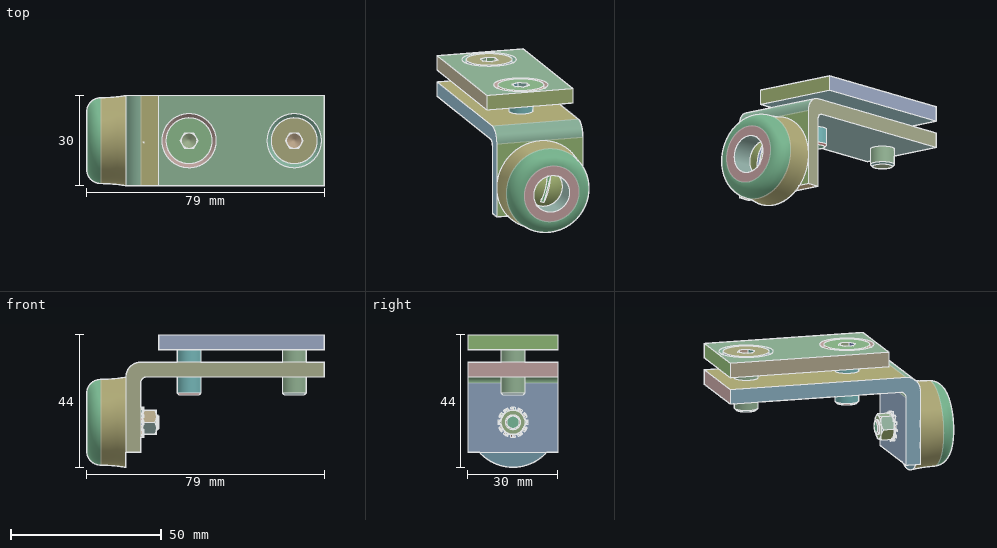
import cadquery as cq
import math


hexagon_sides = 6

width = 30.0
thickness = 5.0
bracket_length = 66.0
bracket_height = 30.0
outer_bend_radius = thickness
inner_bend_radius = 2.0
plate_length = 55.1
plate_gap = 4.0
plate_top = plate_gap + thickness

clamp_screw_pitch = 34.9
clamp_screw_end_inset = 10.0
clamp_shank_diameter = 8.0
clamp_tip_diameter = 6.6
clamp_head_diameter = 15.25
clamp_screw_protrusion = 6.0
clamp_hole_diameter = 8.2
countersink_diameter = 18.0
countersink_angle = 90.0
socket_corner_diameter = 5.9
socket_depth = 3.3
socket_point_angle = 120.0
clamp_tip_chamfer = (clamp_shank_diameter - clamp_tip_diameter) / 2
clamp_head_rim = (countersink_diameter - clamp_head_diameter) / 2
clamp_screw_tip = -thickness - clamp_screw_protrusion
clamp_screw_positions = [
    bracket_length - clamp_screw_end_inset - clamp_screw_pitch,
    bracket_length - clamp_screw_end_inset,
]

bumper_length = 13.0
bumper_base_radius = width / 2
bumper_neck_radius = 14.3
bumper_nose_round = 4.75
bumper_overhang = 5.0
bumper_axis_z = -bracket_height - bumper_overhang + bumper_base_radius
bumper_bore_diameter = 12.5
bumper_bore_depth = 8.05

bumper_screw_diameter = 5.0
bumper_screw_tip_diameter = 4.1
bumper_screw_projection = 6.0
dome_height = 2.6
slot_width = 1.2
slot_length = 9.2
slot_tilt = 15.0
head_seat_x = bumper_bore_depth - bumper_length
bumper_screw_tip_chamfer = (bumper_screw_diameter - bumper_screw_tip_diameter) / 2

washer_thickness = 0.6
washer_ring_diameter = 6.5
washer_tooth_diameter = 10.0
washer_tooth_height = 1.1
washer_tooth_width = 0.55
washer_tooth_skew = 1.0
washer_tooth_count = 12

nut_across_flats = 8.0
nut_end_projection = 5.2
nut_chamfer_height = 0.55
nut_corner_radius = nut_across_flats / math.sqrt(3)
nut_height = nut_end_projection - washer_thickness


def bumper_axis_plane(x):
    """Plane square to the bumper axis at x; local x is +Y, local y is +Z, normal is +X."""
    return cq.Workplane(cq.Plane(origin=(x, 0, bumper_axis_z), xDir=(0, 1, 0), normal=(1, 0, 0)))


def revolve_about_bumper_axis(profile):
    """Turn an XY profile (X along the axis, Y the radius) about X and move it to the bumper axis."""
    return profile.close().revolve(360, (0, 0), (1, 0)).translate((0, 0, bumper_axis_z))


def make_bracket():
    bracket = (
        cq.Workplane("XZ")
        .moveTo(0, -bracket_height)
        .lineTo(0, 0)
        .lineTo(bracket_length, 0)
        .lineTo(bracket_length, -thickness)
        .lineTo(thickness, -thickness)
        .lineTo(thickness, -bracket_height)
        .close()
        .extrude(width / 2, both=True)
    )
    bracket = bracket.edges(cq.NearestToPointSelector((0, 0, 0))).fillet(outer_bend_radius)
    bracket = bracket.edges(cq.NearestToPointSelector((thickness, 0, -thickness))).fillet(inner_bend_radius)

    clamp_holes = (
        cq.Workplane("XY")
        .pushPoints([(x, 0) for x in clamp_screw_positions])
        .circle(clamp_shank_diameter / 2)
        .extrude(-thickness)
    )
    bumper_screw_hole = bumper_axis_plane(0).circle(bumper_screw_diameter / 2).extrude(thickness)
    return bracket.cut(clamp_holes).cut(bumper_screw_hole)


def make_plate():
    return (
        cq.Workplane("XY", origin=(bracket_length - plate_length / 2, 0, plate_gap))
        .box(plate_length, width, thickness, centered=(True, True, False))
        .faces(">Z")
        .workplane(origin=(0, 0, plate_top))
        .pushPoints([(x, 0) for x in clamp_screw_positions])
        .cskHole(clamp_hole_diameter, countersink_diameter, countersink_angle)
    )


def make_clamp_screw(x):
    head_radius = clamp_head_diameter / 2
    shank_radius = clamp_shank_diameter / 2
    cone_top = plate_top - clamp_head_rim
    screw = (
        cq.Workplane("XZ")
        .moveTo(0, plate_top)
        .lineTo(head_radius, plate_top)
        .lineTo(head_radius, cone_top)
        .lineTo(shank_radius, cone_top - (head_radius - shank_radius))
        .lineTo(shank_radius, clamp_screw_tip + clamp_tip_chamfer)
        .lineTo(clamp_tip_diameter / 2, clamp_screw_tip)
        .lineTo(0, clamp_screw_tip)
        .close()
        .revolve(360, (0, 0), (0, 1))
    )
    socket = (
        cq.Workplane("XY", origin=(0, 0, plate_top))
        .polygon(hexagon_sides, socket_corner_diameter)
        .extrude(-socket_depth)
    )
    point_radius = socket_corner_diameter / 2 * math.cos(math.pi / hexagon_sides)
    socket_bottom = plate_top - socket_depth
    point_depth = point_radius / math.tan(math.radians(socket_point_angle / 2))
    socket_point = cq.Workplane(
        cq.Solid.makeCone(point_radius, 0, point_depth, cq.Vector(0, 0, socket_bottom), cq.Vector(0, 0, -1))
    )
    return screw.cut(socket).cut(socket_point).translate((x, 0, 0))


def make_bumper():
    nose_x = -bumper_length
    neck_x = nose_x + bumper_nose_round
    round_middle = bumper_nose_round * math.sqrt(0.5)
    face_radius = bumper_neck_radius - bumper_nose_round
    profile = (
        cq.Workplane("XY")
        .moveTo(nose_x, bumper_bore_diameter / 2)
        .lineTo(nose_x, face_radius)
        .threePointArc((neck_x - round_middle, face_radius + round_middle), (neck_x, bumper_neck_radius))
        .tangentArcPoint((0, bumper_base_radius), relative=False)
        .lineTo(0, bumper_screw_diameter / 2)
        .lineTo(head_seat_x, bumper_screw_diameter / 2)
        .lineTo(head_seat_x, bumper_bore_diameter / 2)
    )
    return revolve_about_bumper_axis(profile)


def make_bumper_screw():
    head_radius = bumper_bore_diameter / 2
    shank_radius = bumper_screw_diameter / 2
    dome_radius = (head_radius**2 + dome_height**2) / (2 * dome_height)
    crown_x = head_seat_x - dome_height
    tip_x = thickness + bumper_screw_projection

    def dome_x(radius):
        return crown_x + dome_radius - math.sqrt(dome_radius**2 - radius**2)

    profile = (
        cq.Workplane("XY")
        .moveTo(crown_x, 0)
        .threePointArc((dome_x(head_radius / 2), head_radius / 2), (head_seat_x, head_radius))
        .lineTo(head_seat_x, shank_radius)
        .lineTo(tip_x - bumper_screw_tip_chamfer, shank_radius)
        .lineTo(tip_x, bumper_screw_tip_diameter / 2)
        .lineTo(tip_x, 0)
    )
    slot_floor_x = dome_x(slot_length / 2)
    slot = (
        bumper_axis_plane(crown_x)
        .transformed(rotate=(0, 0, slot_tilt))
        .rect(slot_width, bumper_bore_diameter)
        .extrude(slot_floor_x - crown_x)
    )
    return revolve_about_bumper_axis(profile).cut(slot)


def make_washer():
    tooth_radius = washer_tooth_diameter / 2
    half_width = washer_tooth_width / 2
    ring = bumper_axis_plane(thickness).circle(washer_ring_diameter / 2).extrude(washer_thickness)

    tooth = (
        cq.Workplane("XY", origin=(thickness, 0, bumper_axis_z))
        .moveTo(0, washer_tooth_skew / 2 - half_width)
        .lineTo(0, washer_tooth_skew / 2 + half_width)
        .lineTo(washer_tooth_height, -washer_tooth_skew / 2 + half_width)
        .lineTo(washer_tooth_height, -washer_tooth_skew / 2 - half_width)
        .close()
        .extrude(tooth_radius)
        .intersect(bumper_axis_plane(thickness).circle(tooth_radius).extrude(washer_tooth_height))
    )
    washer = ring
    axis_start = (0, 0, bumper_axis_z)
    axis_end = (1, 0, bumper_axis_z)
    for index in range(washer_tooth_count):
        washer = washer.union(tooth.rotate(axis_start, axis_end, index * 360 / washer_tooth_count))

    nut_clearance = bumper_axis_plane(thickness + washer_thickness).circle(nut_corner_radius).extrude(nut_height)
    screw_hole = bumper_axis_plane(thickness).circle(bumper_screw_diameter / 2).extrude(washer_tooth_height)
    return washer.cut(nut_clearance).cut(screw_hole)


def make_nut():
    start_x = thickness + washer_thickness
    end_x = start_x + nut_height
    envelope = revolve_about_bumper_axis(
        cq.Workplane("XY")
        .moveTo(start_x, 0)
        .lineTo(start_x, nut_across_flats / 2)
        .lineTo(start_x + nut_chamfer_height, nut_corner_radius)
        .lineTo(end_x - nut_chamfer_height, nut_corner_radius)
        .lineTo(end_x, nut_across_flats / 2)
        .lineTo(end_x, 0)
    )
    hexagon = bumper_axis_plane(start_x).polygon(hexagon_sides, 2 * nut_corner_radius).extrude(nut_height)
    screw_hole = bumper_axis_plane(start_x).circle(bumper_screw_diameter / 2).extrude(nut_height)
    return hexagon.intersect(envelope).cut(screw_hole)


bracket = make_bracket()
plate = make_plate()
clamp_screws = [make_clamp_screw(x) for x in clamp_screw_positions]
bumper = make_bumper()
bumper_screw = make_bumper_screw()
washer = make_washer()
nut = make_nut()

result = cq.Compound.makeCompound(
    [
        bracket.val(),
        plate.val(),
        *[screw.val() for screw in clamp_screws],
        bumper.val(),
        bumper_screw.val(),
        washer.val(),
        nut.val(),
    ]
)